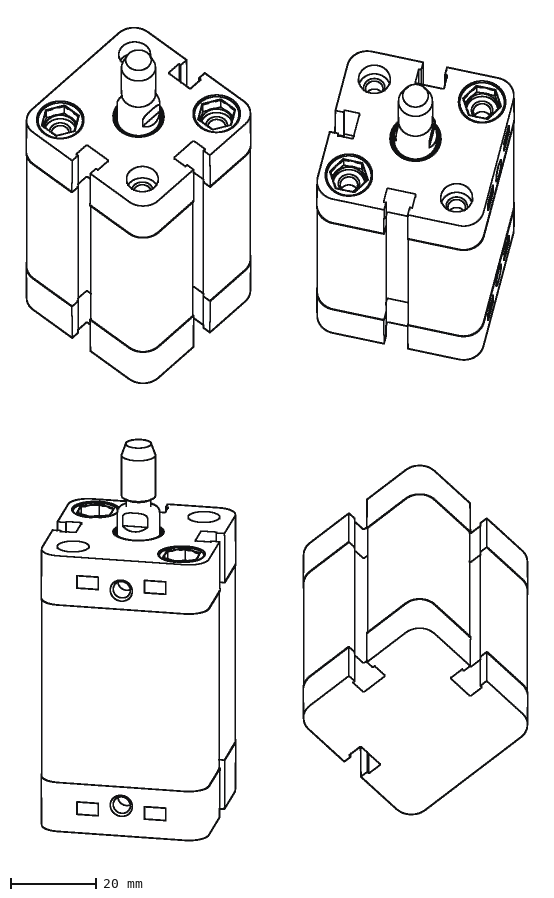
import cadquery as cq
import math

overall_height = 91.0
body_height = 69.0
cap_height = 12.3
barrel_height = body_height - 2 * cap_height

barrel_width = 40.0
barrel_corner_radius = 4.8
cap_width = 40.3
cap_corner_radius = 4.9
cap_draft = 0.5

slot_mouth_width = 5.7
slot_inner_width = 6.9
slot_lip = 2.0
slot_depth = 5.7
slot_floor_radius = 0.3
slot_edge_radius = 0.3
slot_angles = [0, 90, -90]

thread_core = 4.1
mount_thread_mouth = 5.0
port_mouth = 5.3
entry_clearance = 0.5

hole_spacing = 26.0
mount_diameter = 7.5
mount_depth = 4.5
mount_thread_depth = 4.55

rim_diameter = 11.1
rim_floor_diameter = 10.5
rim_depth = 0.3
hex_mouth_flats = 8.0
hex_across_flats = 7.6
hex_relief_diameter = 7.9
hex_depth = 3.1

port_inset = 7.55
port_depth = 6.0
label_inset = 6.2
label_offset = 8.1
label_length = 5.1
label_height = 3.1
label_depth = 0.2

bearing_mouth = 12.0
bearing_mouth_floor = 11.4
bearing_mouth_depth = 0.2
bearing_lip = 10.9
bearing_gap = 10.5
bearing_gap_depth = 1.0

rod_diameter = 10.0
shoulder_height = 6.1
shoulder_radius = 1.2
flats_width = 8.0
flats_height = 2.7
neck_diameter = 5.8
neck_foot_radius = 0.4
neck_top = 8.4
stud_diameter = 8.0
stud_bottom = 9.0
tip_diameter = 6.0
tip_length = 2.8


def sensor_slots():
    """Undercut slots that run the full height of the body."""
    half_width = barrel_width / 2
    lip_x = half_width - slot_lip
    floor_x = half_width - slot_depth
    inner = (
        cq.Workplane("XY")
        .center((lip_x + floor_x) / 2, 0)
        .rect(lip_x - floor_x, slot_inner_width)
        .extrude(body_height)
        .edges("|Z and <X")
        .fillet(slot_floor_radius)
    )
    mouth = (
        cq.Workplane("XY")
        .center(half_width, 0)
        .rect(2 * slot_lip, slot_mouth_width)
        .extrude(body_height)
    )
    slot = inner.union(mouth)
    slots = cq.Workplane("XY")
    for angle in slot_angles:
        slots = slots.union(slot.rotate((0, 0, 0), (0, 0, 1), angle))
    return slots


def make_barrel(slots):
    """Square body with rounded corners and eased slot mouths."""
    barrel = (
        cq.Workplane("XY", origin=(0, 0, cap_height))
        .rect(barrel_width, barrel_width)
        .extrude(barrel_height)
        .edges("|Z")
        .fillet(barrel_corner_radius)
        .cut(slots)
    )
    half_width = barrel_width / 2
    half_mouth = slot_mouth_width / 2
    mouth_corners = [(half_width, side * half_mouth) for side in (-1, 1)]
    mouth_corners += [(side * half_mouth, end * half_width) for side in (-1, 1) for end in (-1, 1)]
    for x, y in mouth_corners:
        edge = cq.selectors.NearestToPointSelector((x, y, body_height / 2))
        barrel = barrel.edges(edge).fillet(slot_edge_radius)
    return barrel


def threaded_hole(mouth_diameter, depth):
    """Cutter for a hole down from the origin, with a 45 degree mouth and clearance above it."""
    core_radius = thread_core / 2
    mouth_radius = mouth_diameter / 2
    return (
        cq.Workplane("XZ")
        .moveTo(0, entry_clearance)
        .lineTo(mouth_radius, entry_clearance)
        .lineTo(mouth_radius, 0)
        .lineTo(core_radius, core_radius - mouth_radius)
        .lineTo(core_radius, -depth)
        .lineTo(0, -depth)
        .close()
        .revolve(360, (0, 0, 0), (0, 1, 0))
    )


def cap_blank(slots):
    """Upper cap before its rod bearing and mounting holes, drafted towards the top."""
    outline = cq.Sketch().rect(cap_width, cap_width).vertices().fillet(cap_corner_radius)
    blank = (
        cq.Workplane("XY", origin=(0, 0, body_height - cap_height))
        .placeSketch(outline)
        .extrude(cap_height, taper=cap_draft)
        .cut(slots)
    )
    draft_slope = math.tan(math.radians(cap_draft))
    face_x_top = -cap_width / 2 + cap_height * draft_slope

    port_x = face_x_top - port_inset * draft_slope
    port = threaded_hole(port_mouth, port_depth).rotate((0, 0, 0), (0, 1, 0), -90)
    blank = blank.cut(port.translate((port_x, 0, body_height - port_inset)))

    label_x = face_x_top - label_inset * draft_slope
    labels = (
        cq.Workplane("XY")
        .pushPoints([(label_x, -label_offset), (label_x, label_offset)])
        .box(2 * label_depth, label_length, label_height)
        .translate((0, 0, body_height - label_inset))
    )
    return blank.cut(labels)


def hex_socket():
    """Cutter for a shallow round rim with a hexagon socket below it, its flats relieved by a bore."""
    rim = (
        cq.Workplane("XY")
        .circle(rim_diameter / 2)
        .workplane(offset=-rim_depth)
        .circle(rim_floor_diameter / 2)
        .loft()
    )
    corner_ratio = 1 / math.cos(math.pi / 6)
    hex_mouth = (
        cq.Workplane("XY", origin=(0, 0, -rim_depth))
        .polygon(6, hex_mouth_flats * corner_ratio)
        .workplane(offset=(hex_across_flats - hex_mouth_flats) / 2)
        .polygon(6, hex_across_flats * corner_ratio)
        .loft()
    )
    hexagon = cq.Workplane("XY").polygon(6, hex_across_flats * corner_ratio).extrude(-hex_depth)
    relief = cq.Workplane("XY").circle(hex_relief_diameter / 2).extrude(-hex_depth)
    return rim.union(hex_mouth).union(hexagon).union(relief)


def rod_bearing():
    """Cutter for the rod bore with a bevelled mouth, a flat step and a narrow gap round the rod."""
    rod_radius = rod_diameter / 2
    mouth_radius = bearing_mouth / 2
    floor_radius = bearing_mouth_floor / 2
    lip_radius = bearing_lip / 2
    gap_radius = bearing_gap / 2
    floor_z = -bearing_mouth_depth
    gap_z = floor_z + gap_radius - lip_radius
    return (
        cq.Workplane("XZ")
        .moveTo(0, 0)
        .lineTo(mouth_radius, 0)
        .lineTo(floor_radius, floor_z)
        .lineTo(lip_radius, floor_z)
        .lineTo(gap_radius, gap_z)
        .lineTo(gap_radius, -bearing_gap_depth)
        .lineTo(rod_radius, -bearing_gap_depth)
        .lineTo(rod_radius, -cap_height)
        .lineTo(0, -cap_height)
        .close()
        .revolve(360, (0, 0, 0), (0, 1, 0))
        .translate((0, 0, body_height))
    )


def make_bearing_cap(blank):
    """Upper cap with the rod bearing, four mounting holes and two hexagon sockets."""
    cap = blank.cut(rod_bearing())
    counterbore = cq.Workplane("XY").circle(mount_diameter / 2).extrude(-mount_depth)
    thread = threaded_hole(mount_thread_mouth, mount_thread_depth).translate((0, 0, -mount_depth))
    mount = counterbore.union(thread)
    socket = hex_socket()
    for x_side in (-1, 1):
        for y_side in (-1, 1):
            place = (x_side * hole_spacing / 2, y_side * hole_spacing / 2, body_height)
            cap = cap.cut(mount.translate(place))
            if x_side == y_side:
                cap = cap.cut(socket.translate(place))
    return cap


def make_end_cap(blank):
    """Lower cap, the mirror image of the plain upper cap."""
    return blank.mirror("XY", (0, 0, body_height / 2))


def make_rod():
    """Piston rod with wrench flats, an undercut neck and a tapered stud."""
    rod_radius = rod_diameter / 2
    neck_radius = neck_diameter / 2
    stud_radius = stud_diameter / 2
    tip_radius = tip_diameter / 2
    rod_bottom = -cap_height
    rod_top = overall_height - body_height
    arc_point = math.sqrt(0.5)
    rod = (
        cq.Workplane("XZ")
        .moveTo(0, rod_bottom)
        .lineTo(rod_radius, rod_bottom)
        .lineTo(rod_radius, shoulder_height - shoulder_radius)
        .threePointArc(
            (
                rod_radius - shoulder_radius * (1 - arc_point),
                shoulder_height - shoulder_radius * (1 - arc_point),
            ),
            (rod_radius - shoulder_radius, shoulder_height),
        )
        .lineTo(neck_radius + neck_foot_radius, shoulder_height)
        .threePointArc(
            (
                neck_radius + neck_foot_radius * (1 - arc_point),
                shoulder_height + neck_foot_radius * (1 - arc_point),
            ),
            (neck_radius, shoulder_height + neck_foot_radius),
        )
        .lineTo(neck_radius, neck_top)
        .lineTo(stud_radius, stud_bottom)
        .lineTo(stud_radius, rod_top - tip_length)
        .lineTo(tip_radius, rod_top)
        .lineTo(0, rod_top)
        .close()
        .revolve(360, (0, 0, 0), (0, 1, 0))
    )

    flat_x = flats_width / 2
    for side in (-1, 1):
        flat = (
            cq.Workplane("XZ")
            .moveTo(side * flat_x, flats_height)
            .lineTo(side * rod_radius, flats_height - (rod_radius - flat_x))
            .lineTo(side * rod_diameter, flats_height - (rod_radius - flat_x))
            .lineTo(side * rod_diameter, shoulder_height)
            .lineTo(side * flat_x, shoulder_height)
            .close()
            .extrude(rod_radius, both=True)
        )
        rod = rod.cut(flat)
    return rod.translate((0, 0, body_height))


sensor_slot_cutter = sensor_slots()
plain_cap = cap_blank(sensor_slot_cutter)

barrel = make_barrel(sensor_slot_cutter)
bearing_cap = make_bearing_cap(plain_cap)
end_cap = make_end_cap(plain_cap)
rod = make_rod()

result = cq.Compound.makeCompound([barrel.val(), bearing_cap.val(), end_cap.val(), rod.val()])